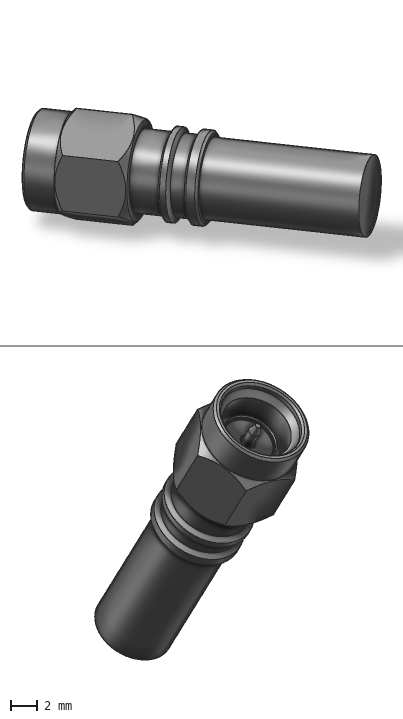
import cadquery as cq
import math

TOTAL_LENGTH = 26.66

HEX_ACROSS_FLATS = 8.0
HEX_START = 2.6
HEX_END = 8.4
HEX_END_RADIUS = 3.93
COLLAR_RADIUS = 3.95
COLLAR_CHAMFER = 0.2

MOUTH_RADIUS = 3.34
MOUTH_CHAMFER = 0.18
MOUTH_DEPTH = 0.55
SOCKET_RADIUS = 2.84
SOCKET_DEPTH = 3.5

SLEEVE_RADIUS = 2.26
SLEEVE_FRONT = 2.52
SLEEVE_BORE_RADIUS = 2.15
SLEEVE_BORE_DEPTH = 0.28
INSULATOR_RADIUS = 2.05
INSULATOR_CONE_RADIUS = 2.11
INSULATOR_RECESS_RADIUS = 0.645
INSULATOR_RECESS_DEPTH = 0.5

PIN_RADIUS = 0.47
PIN_TIP_RADIUS = 0.21
PIN_TIP = 0.82
PIN_CONE_END = 1.57

BODY_RADIUS = 3.27
TAIL_RADIUS = 3.19
RING_RADIUS = 3.72
RING_FLANK_ANGLE = 62
FRONT_RING_START = 10.7
FRONT_RING_END = 11.67
REAR_RING_START = 12.79
REAR_RING_END = 13.94
REAR_RING_CHAMFER = 0.2


def turned(points):
    """Revolve a closed (x, radius) outline about the X axis."""
    outline = cq.Workplane("XY").polyline(points).close()
    return outline.revolve(360, (0, 0, 0), (1, 0, 0))


def cylinder(start, end, radius):
    return cq.Workplane("YZ", origin=(start, 0, 0)).circle(radius).extrude(end - start)


def hexagon():
    """Hexagon with flats facing +-Y and its corners turned off at 45 degrees on both ends."""
    corner_radius = HEX_ACROSS_FLATS / math.sqrt(3)
    corner_points = []
    for index in range(6):
        angle = math.radians(30 + 60 * index)
        corner_points.append((corner_radius * math.cos(angle), corner_radius * math.sin(angle)))
    prism = (
        cq.Workplane("YZ", origin=(HEX_START, 0, 0))
        .polyline(corner_points)
        .close()
        .extrude(HEX_END - HEX_START)
    )
    middle = (HEX_START + HEX_END) / 2
    peak_radius = HEX_END_RADIUS + (HEX_END - HEX_START) / 2
    double_cone = turned([
        (HEX_START, 0),
        (HEX_START, HEX_END_RADIUS),
        (middle, peak_radius),
        (HEX_END, HEX_END_RADIUS),
        (HEX_END, 0),
    ])
    return prism.intersect(double_cone)


def collar():
    return cylinder(0, HEX_START, COLLAR_RADIUS).faces("<X").chamfer(COLLAR_CHAMFER)


def body():
    """Shaft with two raised rings and the plain tail, turned from one outline."""
    flank_length = (RING_RADIUS - BODY_RADIUS) / math.tan(math.radians(RING_FLANK_ANGLE))
    return turned([
        (HEX_END, 0),
        (HEX_END, BODY_RADIUS),
        (FRONT_RING_START, BODY_RADIUS),
        (FRONT_RING_START + flank_length, RING_RADIUS),
        (FRONT_RING_END - flank_length, RING_RADIUS),
        (FRONT_RING_END, BODY_RADIUS),
        (REAR_RING_START, BODY_RADIUS),
        (REAR_RING_START + flank_length, RING_RADIUS),
        (REAR_RING_END - REAR_RING_CHAMFER, RING_RADIUS),
        (REAR_RING_END, RING_RADIUS - REAR_RING_CHAMFER),
        (REAR_RING_END, TAIL_RADIUS),
        (TOTAL_LENGTH, TAIL_RADIUS),
        (TOTAL_LENGTH, 0),
    ])


def socket():
    """Cavity of the nut: chamfered mouth, 45 degree step and a straight bore."""
    return turned([
        (0, 0),
        (0, MOUTH_RADIUS + MOUTH_CHAMFER),
        (MOUTH_CHAMFER, MOUTH_RADIUS),
        (MOUTH_DEPTH, MOUTH_RADIUS),
        (MOUTH_DEPTH + MOUTH_RADIUS - SOCKET_RADIUS, SOCKET_RADIUS),
        (SOCKET_DEPTH, SOCKET_RADIUS),
        (SOCKET_DEPTH, 0),
    ])


def sleeve():
    """Sleeve with a bevelled rim, filled by an insulator that is recessed around the pin."""
    bore_floor = SLEEVE_FRONT + SLEEVE_BORE_DEPTH
    insulator_face = bore_floor + INSULATOR_CONE_RADIUS - INSULATOR_RADIUS
    recess_floor = insulator_face + INSULATOR_RECESS_DEPTH
    return turned([
        (SOCKET_DEPTH, 0),
        (SOCKET_DEPTH, SLEEVE_RADIUS),
        (SLEEVE_FRONT, SLEEVE_RADIUS),
        (SLEEVE_FRONT + SLEEVE_RADIUS - SLEEVE_BORE_RADIUS, SLEEVE_BORE_RADIUS),
        (bore_floor, SLEEVE_BORE_RADIUS),
        (bore_floor, INSULATOR_CONE_RADIUS),
        (insulator_face, INSULATOR_RADIUS),
        (insulator_face, INSULATOR_RECESS_RADIUS),
        (recess_floor, INSULATOR_RECESS_RADIUS),
        (recess_floor, 0),
    ])


def pin():
    return turned([
        (PIN_TIP, 0),
        (PIN_TIP, PIN_TIP_RADIUS),
        (PIN_CONE_END, PIN_RADIUS),
        (SOCKET_DEPTH, PIN_RADIUS),
        (SOCKET_DEPTH, 0),
    ])


nut = collar().union(hexagon()).cut(socket())
result = nut.union(body()).union(sleeve()).union(pin())